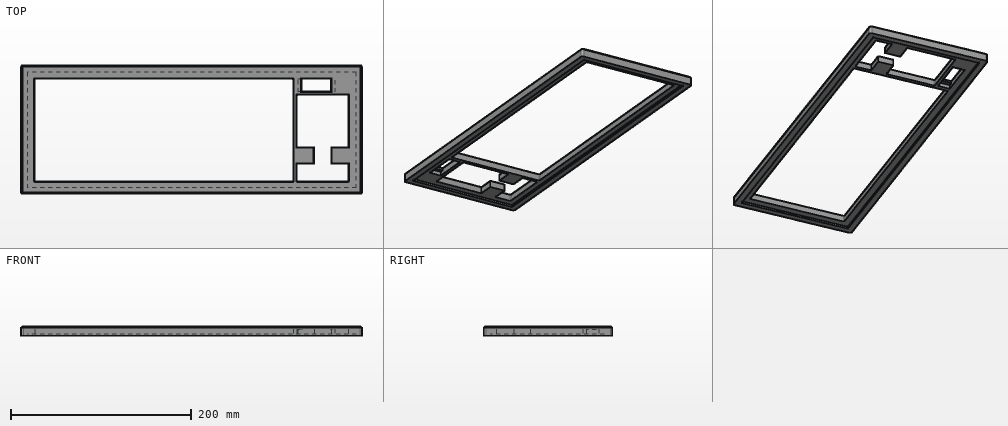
import cadquery as cq

length = 378.0
width = 143.0
thickness = 10.5
corner_radius = 2.45
outer_chamfer = 2.0

recess_depth = 2.45
rim_width = 7.0

border = 15.0
opening_bevel = 0.8
top_edge_corner_radius = 3.3 / 2
opening_corner_radius = top_edge_corner_radius - opening_bevel
opening_top = width / 2 - border
opening_bottom = -57.5
main_left = -length / 2 + border
main_right = 112.5
side_left = 116.8
side_right = length / 2 - border
side_top = 38.5

tab_bottom = -38.0
tab_top = -19.5
tab_gap = 19.0

slot_left = 122.0
slot_right = 154.5
slot_bottom = 42.5
slot_lip_thickness = 3.5
pocket_overhang = 4.0


def block(left, right, bottom, top, z_low=0.0, z_high=thickness):
    """Box between the given X, Y and Z limits."""
    box = cq.Workplane("XY").box(right - left, top - bottom, z_high - z_low, centered=False)
    return box.translate((left, bottom, z_low))


plate = block(-length / 2, length / 2, -width / 2, width / 2)
plate = plate.edges("|Z").fillet(corner_radius)
plate = plate.faces(">Z").edges().chamfer(outer_chamfer)

main_opening = block(main_left, main_right, opening_bottom, opening_top)
main_opening = main_opening.edges("|Z").fillet(opening_corner_radius)

side_opening = block(side_left, side_right, opening_bottom, side_top)
side_opening = side_opening.edges("|Z").fillet(opening_corner_radius)
tab_length = (side_right - side_left - tab_gap) / 2
side_opening = side_opening.cut(block(side_left, side_left + tab_length, tab_bottom, tab_top))
side_opening = side_opening.cut(block(side_right - tab_length, side_right, tab_bottom, tab_top))

slot = block(slot_left, slot_right, slot_bottom, opening_top)

plate = plate.cut(main_opening).cut(side_opening).cut(slot)

inside_border = cq.selectors.BoxSelector(
    (main_left - border / 2, opening_bottom - border / 2, 0),
    (side_right + border / 2, opening_top + border / 2, 2 * thickness),
)
plate = plate.faces(">Z").edges(inside_border).chamfer(opening_bevel)

recess_x = length / 2 - rim_width
recess_y = width / 2 - rim_width
recess = block(-recess_x, recess_x, -recess_y, recess_y, 0, recess_depth)
pocket = block(
    slot_left - pocket_overhang,
    slot_right + pocket_overhang,
    slot_bottom,
    opening_top,
    0,
    thickness - slot_lip_thickness,
)

result = plate.cut(recess).cut(pocket)